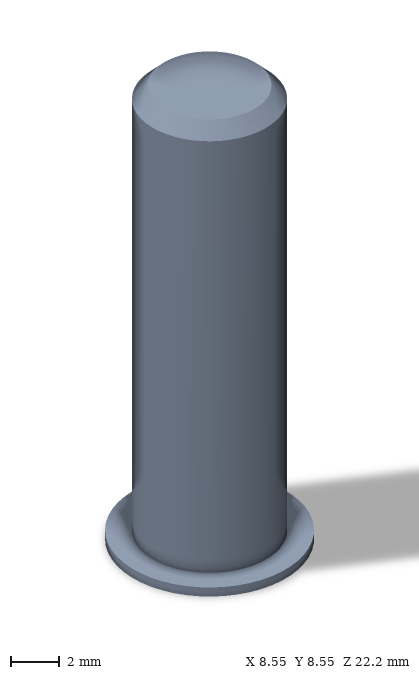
import cadquery as cq

total_height = 22.23
flange_diameter = 8.55
flange_thickness = 0.45
shank_diameter = 6.35
tip_chamfer = 0.65

flange = cq.Workplane("XY").circle(flange_diameter / 2).extrude(flange_thickness)

shank = (
    cq.Workplane("XY")
    .circle(shank_diameter / 2)
    .extrude(total_height)
    .faces(">Z")
    .chamfer(tip_chamfer)
)

result = flange.union(shank)